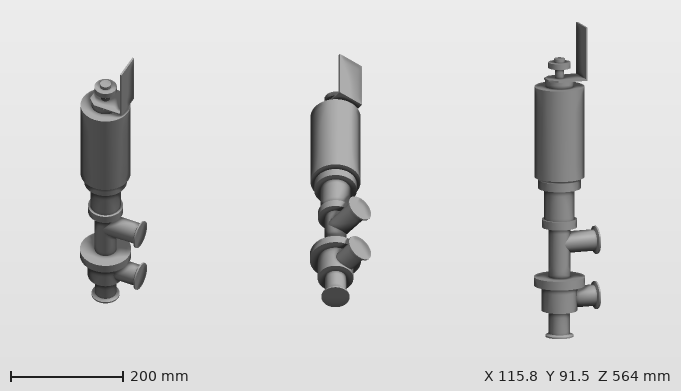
import cadquery as cq


PIPE_DIA = 38.5
RISER_DIA = 39.0
CHAMBER_DIA = 64.0
FLANGE_DIA = 91.5
CHAMBER_BOTTOM = 47.5
FLANGE_BOTTOM = 93.0
FLANGE_TOP = 109.0
VALVE_TOP = 199.0

LOWER_PORT_Z = 70.0
UPPER_PORT_Z = 170.5
PORT_END_X = 70.0
FERRULE_DIA = 50.0
FERRULE_RIM = 3.0
FERRULE_LENGTH = 5.5

COUPLING_DIA = 62.5
COUPLING_TOP = 214.0
COLUMN_DIA = 54.0
COLLAR_DIA = 76.0
COLLAR_BOTTOM = 270.0
COLLAR_TOP = 285.5
CYLINDER_DIA = 89.0
CYLINDER_BOTTOM = 290.5
CYLINDER_TOP = 455.5
BOSS_DIA = 50.0
BOSS_TOP = 460.5
SEAT_DIA = 51.0
STEM_DIA = 16.0
KNOB_DIA = 40.0
KNOB_BOTTOM = 489.0
KNOB_TOP = 499.5
STEM_TIP_DIA = 20.0
STEM_TOP = 506.0

BRACKET_WIDTH = SEAT_DIA
BRACKET_THICKNESS = 3.5
BRACKET_LEFT = -BOSS_DIA / 2
BRACKET_RIGHT = 44.0
BRACKET_BOTTOM = 467.0
BRACKET_TOP = 564.0
BRACKET_CORNER = 14.0


def disc(diameter, bottom, top):
    """Cylinder on the Z axis between two heights."""
    return cq.Workplane("XY").workplane(offset=bottom).circle(diameter / 2).extrude(top - bottom)


def ferruled_pipe(length):
    """Pipe rising from the origin along Z, with a tapered ferrule at its lower end."""
    profile = [
        (0, 0),
        (FERRULE_DIA / 2, 0),
        (FERRULE_DIA / 2, FERRULE_RIM),
        (PIPE_DIA / 2, FERRULE_LENGTH),
        (PIPE_DIA / 2, length),
        (0, length),
    ]
    return cq.Workplane("XZ").polyline(profile).close().revolve(360, (0, 0), (0, 1))


def side_port(height):
    """Ferruled pipe running from the valve axis out to +X."""
    port = ferruled_pipe(PORT_END_X).rotate((0, 0, 0), (0, 1, 0), -90)
    return port.translate((PORT_END_X, 0, height))


def make_valve_body():
    body = ferruled_pipe(FLANGE_BOTTOM)
    body = body.union(disc(CHAMBER_DIA, CHAMBER_BOTTOM, FLANGE_BOTTOM))
    body = body.union(disc(FLANGE_DIA, FLANGE_BOTTOM, FLANGE_TOP))
    body = body.union(disc(RISER_DIA, FLANGE_TOP, VALVE_TOP))
    for height in (LOWER_PORT_Z, UPPER_PORT_Z):
        body = body.union(side_port(height))
    return body


def make_actuator():
    """Stack of coaxial discs from the coupling ring up to the stem tip."""
    steps = [
        (COLUMN_DIA, COUPLING_TOP, COLLAR_BOTTOM),
        (COLLAR_DIA, COLLAR_BOTTOM, COLLAR_TOP),
        (COLUMN_DIA, COLLAR_TOP, CYLINDER_BOTTOM),
        (CYLINDER_DIA, CYLINDER_BOTTOM, CYLINDER_TOP),
        (BOSS_DIA, CYLINDER_TOP, BOSS_TOP),
        (SEAT_DIA, BOSS_TOP, BRACKET_BOTTOM),
        (STEM_DIA, BRACKET_BOTTOM, KNOB_BOTTOM),
        (KNOB_DIA, KNOB_BOTTOM, KNOB_TOP),
        (STEM_TIP_DIA, KNOB_TOP, STEM_TOP),
    ]
    body = disc(COUPLING_DIA, VALVE_TOP, COUPLING_TOP)
    for diameter, bottom, top in steps:
        body = body.union(disc(diameter, bottom, top))
    return body


def make_bracket():
    """L-shaped plate with two cut corners and a hole for the stem."""
    plate_top = BRACKET_BOTTOM + BRACKET_THICKNESS
    upright_left = BRACKET_RIGHT - BRACKET_THICKNESS
    profile = [
        (BRACKET_LEFT, BRACKET_BOTTOM),
        (BRACKET_RIGHT, BRACKET_BOTTOM),
        (BRACKET_RIGHT, BRACKET_TOP),
        (upright_left, BRACKET_TOP),
        (upright_left, plate_top),
        (BRACKET_LEFT, plate_top),
    ]
    angle = cq.Workplane("XZ").polyline(profile).close().extrude(BRACKET_WIDTH / 2, both=True)
    angle = angle.edges("|Z and <X").chamfer(BRACKET_CORNER)
    return angle.cut(disc(STEM_DIA, BRACKET_BOTTOM, plate_top))


valve_body = make_valve_body()
actuator = make_actuator()
bracket = make_bracket()

result = cq.Compound.makeCompound([valve_body.val(), actuator.val(), bracket.val()])